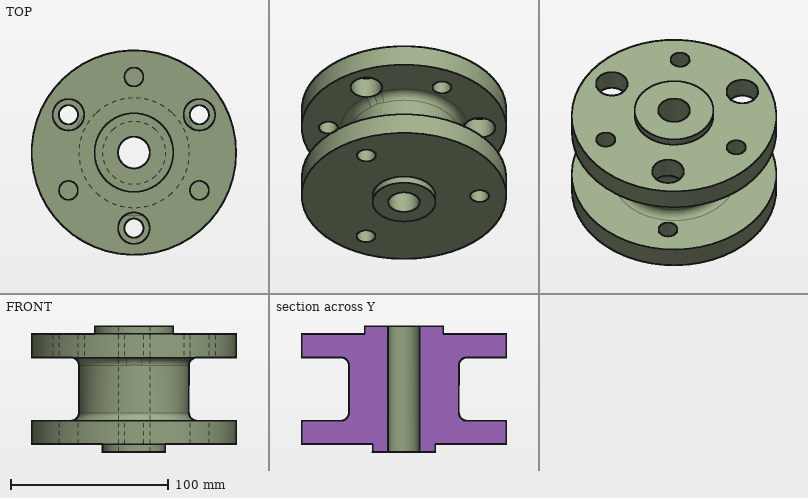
import cadquery as cq

flange_diameter = 130.0
flange_thickness = 15.0

neck_diameter = 70.0
neck_length = 40.0
neck_fillet = 5.0

boss_height = 5.0
lower_boss_diameter = 40.0
upper_boss_diameter = 50.0

bore_diameter = 20.0
bolt_circle_radius = 48.0
bolt_hole_diameter = 12.0
access_hole_diameter = 20.0
holes_per_pattern = 3
access_start_angle = 30.0
upper_bolt_start_angle = 90.0

edge_search_margin = 1.0

lower_flange_bottom = boss_height
lower_flange_top = lower_flange_bottom + flange_thickness
upper_flange_bottom = lower_flange_top + neck_length
upper_flange_top = upper_flange_bottom + flange_thickness
total_height = upper_flange_top + boss_height


def make_disc(diameter, bottom, top):
    """Solid cylinder on the part axis between two levels."""
    return cq.Workplane("XY").workplane(offset=bottom).circle(diameter / 2).extrude(top - bottom)


def make_hole_pattern(diameter, start_angle, bottom, top):
    """Cylinders for one ring of equally spaced holes between two levels."""
    return (
        cq.Workplane("XY")
        .workplane(offset=bottom)
        .polarArray(bolt_circle_radius, start_angle, 360, holes_per_pattern)
        .circle(diameter / 2)
        .extrude(top - bottom)
    )


def make_upper_flange():
    """Upper flange with alternating access and bolt holes."""
    flange = make_disc(flange_diameter, upper_flange_bottom, upper_flange_top)
    access_holes = make_hole_pattern(
        access_hole_diameter, access_start_angle, upper_flange_bottom, upper_flange_top
    )
    bolt_holes = make_hole_pattern(
        bolt_hole_diameter, upper_bolt_start_angle, upper_flange_bottom, upper_flange_top
    )
    return flange.cut(access_holes).cut(bolt_holes)


def make_lower_flange():
    """Lower flange with bolt holes directly under the access holes."""
    flange = make_disc(flange_diameter, lower_flange_bottom, lower_flange_top)
    bolt_holes = make_hole_pattern(
        bolt_hole_diameter, access_start_angle, lower_flange_bottom, lower_flange_top
    )
    return flange.cut(bolt_holes)


def make_neck():
    """Neck cylinder, turned so its seam lines up with an access hole, where the fillet can start."""
    neck = make_disc(neck_diameter, lower_flange_top, upper_flange_bottom)
    return neck.rotate((0, 0, 0), (0, 0, 1), access_start_angle)


def fillet_neck_end(body, level):
    """Fillet the neck into the flange face at the given level.

    At the upper flange the fillet passes under the access holes and is held by their rims.
    """
    half_width = neck_diameter / 2 + edge_search_margin
    neck_end = cq.selectors.BoxSelector(
        (-half_width, -half_width, level - edge_search_margin),
        (half_width, half_width, level + edge_search_margin),
        boundingbox=True,
    )
    return body.edges(neck_end).fillet(neck_fillet)


body = (
    make_neck()
    .union(make_lower_flange())
    .union(make_upper_flange())
    .union(make_disc(lower_boss_diameter, 0, lower_flange_bottom))
    .union(make_disc(upper_boss_diameter, upper_flange_top, total_height))
)
body = fillet_neck_end(body, lower_flange_top)
body = fillet_neck_end(body, upper_flange_bottom)

bore = make_disc(bore_diameter, 0, total_height)
result = body.cut(bore)